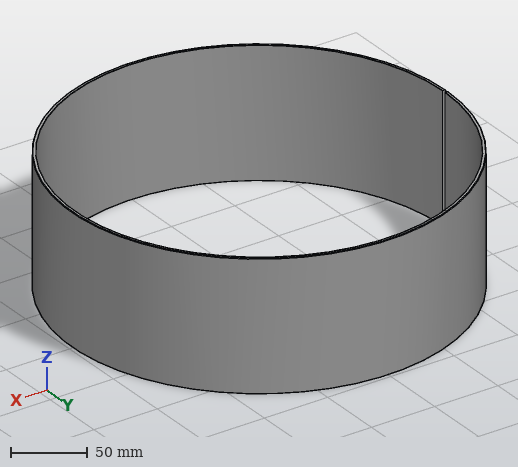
import cadquery as cq
import math

outer_diameter = 295.0
wall_thickness = 2.5
height = 100.0
slit_width = 2.5
outer_chamfer = 0.5
inner_chamfer = 0.2

outer_radius = outer_diameter / 2
inner_radius = outer_radius - wall_thickness
slit_angle = math.degrees(slit_width / outer_radius)


def make_wall_profile():
    """Wall section on the -X side in the XZ plane, with all four rim corners chamfered."""
    return (
        cq.Workplane("XZ")
        .moveTo(-outer_radius, outer_chamfer)
        .lineTo(-outer_radius, height - outer_chamfer)
        .lineTo(-outer_radius + outer_chamfer, height)
        .lineTo(-inner_radius - inner_chamfer, height)
        .lineTo(-inner_radius, height - inner_chamfer)
        .lineTo(-inner_radius, inner_chamfer)
        .lineTo(-inner_radius - inner_chamfer, 0)
        .lineTo(-outer_radius + outer_chamfer, 0)
        .close()
    )


def make_split_ring():
    """Wall swept about Z from -X towards -Y, leaving the slit just on the +Y side of -X."""
    axis_start = (0, 0, 0)
    axis_end = (0, 1, 0)
    return make_wall_profile().revolve(360 - slit_angle, axis_start, axis_end)


result = make_split_ring()